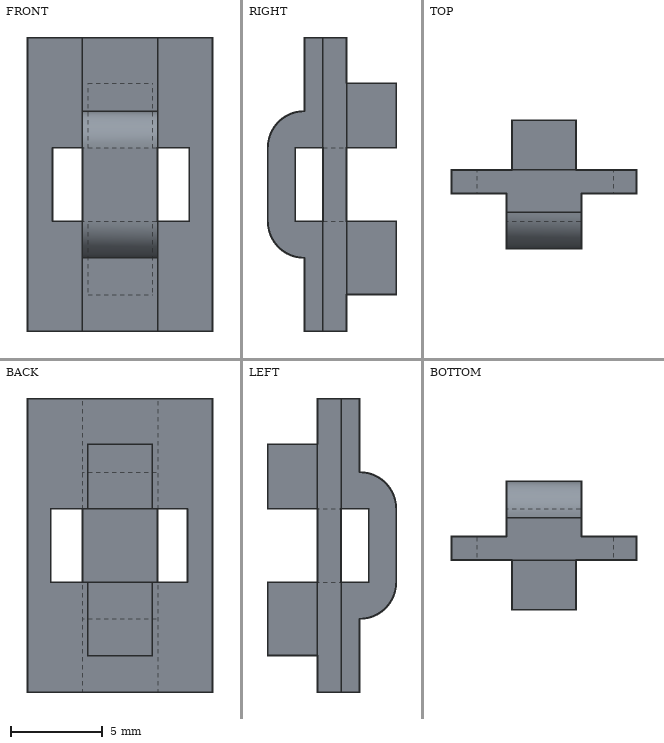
import cadquery as cq

plate_width = 10.1
plate_thickness = 1.3
height = 16.0

rib_width = 4.1
rib_thickness = 1.0
bridge_rise = 2.0
bridge_wall = 1.5

window_width = 7.42
window_height = height / 4
window_offset = 0.05

peg_width = 3.5
peg_length = 2.7
upper_peg_height = 3.52
lower_peg_height = 4.0

rib_front = -(plate_thickness + rib_thickness)
bridge_front = rib_front - bridge_rise
half_height = height / 2
half_window = window_height / 2
half_bridge = half_window + bridge_rise


def block(width, y_back, y_front, z_low, z_high, x_center=0.0):
    """Box given by its width and its Y and Z limits."""
    depth = y_back - y_front
    tall = z_high - z_low
    center = (x_center, (y_back + y_front) / 2, (z_low + z_high) / 2)
    return cq.Workplane("XY").box(width, depth, tall).translate(center)


def rib_and_bridge():
    """Rib with the round-ended bridge, as one profile extruded along X."""
    return (
        cq.Workplane("YZ")
        .moveTo(-plate_thickness, -half_height)
        .lineTo(rib_front, -half_height)
        .lineTo(rib_front, -half_bridge)
        .radiusArc((bridge_front, -half_window), bridge_rise)
        .lineTo(bridge_front, half_window)
        .radiusArc((rib_front, half_bridge), bridge_rise)
        .lineTo(rib_front, half_height)
        .lineTo(-plate_thickness, half_height)
        .close()
        .extrude(rib_width / 2, both=True)
    )


def pegs():
    """Upper and lower pegs on the back face."""
    upper = block(peg_width, peg_length, 0, half_window, half_window + upper_peg_height)
    lower = block(peg_width, peg_length, 0, -half_window - lower_peg_height, -half_window)
    return upper.union(lower)


plate = block(plate_width, 0, -plate_thickness, -half_height, half_height)
window = block(
    window_width, 0, bridge_front + bridge_wall, -half_window, half_window, window_offset
)

result = plate.union(rib_and_bridge()).cut(window).union(pegs())